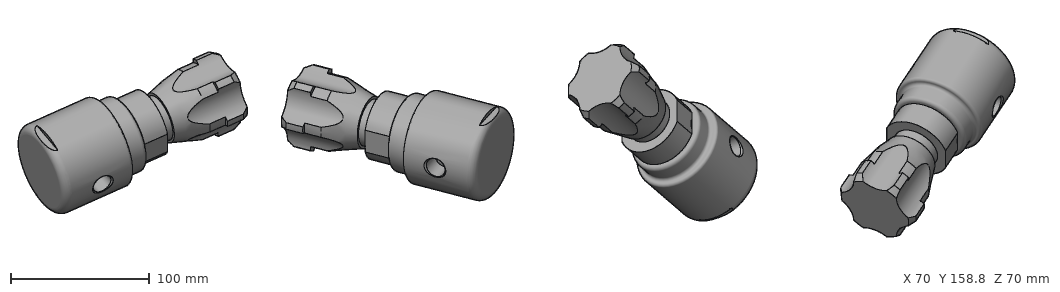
import cadquery as cq
import math


body_radius = 35.0
body_shoulder_y = 58.0
body_shoulder_fillet = 2.4
front_fillet = 6.2
collar_radius = 29.4
collar_end_y = 73.0
collar_fillet = 3.0
collar_root_fillet = 2.5

nut_neck_radius = 23.2
nut_start_y = 73.8
nut_end_y = 93.2
nut_radius = 25.5
nut_across_flats = 47.6
grip_neck_radius = 17.5

grip_start_y = 101.6
grip_start_radius = 19.5
cone_end_y = 127.0
grip_radius = 27.5
flange_start_y = 140.0
flange_radius = 30.5
flange_chamfer_length = 5.4
flange_chamfer_depth = 3.3
total_length = 158.8
scallop_count = 6
scallop_radius = 19.8
scallop_floor_radius = 23.0

front_flat_offset = 31.9
front_flat_length = front_fillet

hole_y = 31.8
hole_radius = 7.5
hole_depth = 15.9
hole_mouth_radius = 8.7


def make_turned_body():
    """Revolve the stepped half profile about the Y axis."""
    root_end_y = body_shoulder_y + collar_root_fillet
    root_outer_radius = collar_radius + collar_root_fillet
    arc_inset = 1 - math.sqrt(0.5)

    def quarter_round(profile, corner, radius, inward, end):
        """Add a quarter arc to end, rounding the corner; inward holds the signs towards its centre."""
        middle = tuple(c + s * radius * arc_inset for c, s in zip(corner, inward))
        return profile.threePointArc(middle, end)

    profile = cq.Workplane("XY").lineTo(body_radius - front_fillet, 0)
    profile = quarter_round(profile, (body_radius, 0), front_fillet, (-1, 1), (body_radius, front_fillet))
    profile = profile.lineTo(body_radius, body_shoulder_y - body_shoulder_fillet)
    profile = quarter_round(
        profile, (body_radius, body_shoulder_y), body_shoulder_fillet, (-1, -1),
        (body_radius - body_shoulder_fillet, body_shoulder_y),
    )
    profile = profile.lineTo(root_outer_radius, body_shoulder_y)
    profile = quarter_round(
        profile, (collar_radius, body_shoulder_y), collar_root_fillet, (1, 1),
        (collar_radius, root_end_y),
    )
    profile = profile.lineTo(collar_radius, collar_end_y - collar_fillet)
    profile = quarter_round(
        profile, (collar_radius, collar_end_y), collar_fillet, (-1, -1),
        (collar_radius - collar_fillet, collar_end_y),
    )
    steps = [
        (nut_neck_radius, collar_end_y),
        (nut_neck_radius, nut_start_y),
        (nut_radius, nut_start_y),
        (nut_radius, nut_end_y),
        (grip_neck_radius, nut_end_y),
        (grip_neck_radius, grip_start_y),
        (grip_start_radius, grip_start_y),
        (grip_radius, cone_end_y),
        (grip_radius, flange_start_y),
        (flange_radius, flange_start_y),
        (flange_radius, total_length - flange_chamfer_length),
        (flange_radius - flange_chamfer_depth, total_length),
        (0, total_length),
    ]
    for point in steps:
        profile = profile.lineTo(*point)
    return profile.close().revolve(360, (0, 0, 0), (0, 1, 0))


def side_block(offset, start_y, length):
    """Block lying beyond X = offset, used to cut a flat on the +X side."""
    size = 2 * body_radius
    block = cq.Workplane("XY").box(size, length, size, centered=(False, False, True))
    return block.translate((offset, start_y, 0))


def make_scallop():
    """Lengthwise cylinder that hollows the top of the grip."""
    axis_radius = scallop_floor_radius + scallop_radius
    length = total_length - grip_start_y
    direction = cq.Vector(0, 1, 0)
    start = cq.Vector(0, grip_start_y, axis_radius)
    return cq.Workplane(cq.Solid.makeCylinder(scallop_radius, length, start, direction))


def make_side_hole():
    """Blind hole from the +X side with a 45 degree countersink."""
    countersink_depth = hole_mouth_radius - hole_radius
    profile = (
        cq.Workplane("XY")
        .moveTo(body_radius - hole_depth, hole_y)
        .lineTo(body_radius - hole_depth, hole_y + hole_radius)
        .lineTo(body_radius - countersink_depth, hole_y + hole_radius)
        .lineTo(body_radius, hole_y + hole_mouth_radius)
        .lineTo(body_radius, hole_y)
        .close()
    )
    return profile.revolve(360, (0, hole_y, 0), (1, hole_y, 0))


def turned(shape, angle):
    """Turn a shape about the part axis."""
    return shape.rotate((0, 0, 0), (0, 1, 0), angle)


result = make_turned_body()

for index in range(scallop_count):
    result = result.cut(turned(make_scallop(), index * 360 / scallop_count))

for side_angle in (0, 180):
    nut_flat = side_block(nut_across_flats / 2, nut_start_y, nut_end_y - nut_start_y)
    front_flat = side_block(front_flat_offset, 0, front_flat_length)
    result = result.cut(turned(nut_flat, side_angle))
    result = result.cut(turned(front_flat, side_angle + 90))
    result = result.cut(turned(make_side_hole(), side_angle))